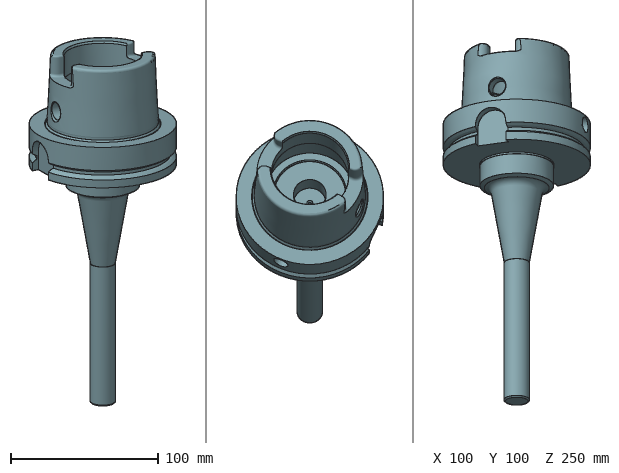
import cadquery as cq
import math


taper_height = 50.0
arbor_length = 200.0

taper_slope = 0.05
taper_base_radius = 38.0
taper_start = 3.0
rim_round = 2.0

relief_neck_radius = 37.7
relief_neck_top = 2.2
relief_neck_end = 1.0
relief_floor_radius = 39.0
relief_outer_radius = 39.5
relief_depth = 0.7

flange_radius = 50.0
flange_height = 29.0
groove_center = -20.0
groove_mouth = 6.7
groove_step_radius = 48.0
groove_step_width = 3.7
groove_floor_radius = 46.2
groove_floor_width = 2.2

collar_radius = 25.2
collar_height = 1.2
neck_radius = 25.0
neck_end = -44.2
shoulder_radius = 22.0
shoulder_end = -45.7
cone_top = -50.0
cone_top_radius = 17.2
cone_end = -100.0
cone_end_radius = 8.5
rod_radius = 8.7
tip_chamfer = 1.0

bore_radius = 26.2
bore_chamfer_width = 0.7
bore_chamfer_height = 1.5
bore_end = 30.7
undercut_radius = 30.0
pocket_floor = 5.0
recess_radius = 24.2
recess_chamfer = 0.7
recess_depth = 1.2
tube_hole_radius = 11.0
tube_hole_depth = 15.0
coolant_radius = 1.0
coolant_chamfer = 1.0
coolant_depth = 12.5

notch_half_width = 10.0
notch_mouth_round = 5.0
notch_mouth_y = 32.2
notch_floor_round = 2.0
notch_edge_round = 1.2
notch_plate_thickness = 2.5
select_margin = 0.2
front_notch_floor = 35.2
back_notch_floor = 40.0

cross_hole_radius = 6.0
cross_hole_rim_radius = 7.0
cross_hole_height = 15.0

slot_half_width = 11.0
slot_top = -4.7
slot_floor_y = 44.0

chip_hole_radius = 5.2
chip_hole_depth = 4.5
chip_hole_height = -6.7
chip_center_radius = 0.5
chip_center_depth = 1.0


def taper_radius(z):
    return taper_base_radius - taper_slope * z


def outer_body():
    """Revolved outside shape, drawn from the rod tip upwards."""
    mouth_low = groove_center - groove_mouth / 2
    mouth_high = groove_center + groove_mouth / 2
    step_low = groove_center - groove_step_width / 2
    step_high = groove_center + groove_step_width / 2
    floor_low = groove_center - groove_floor_width / 2
    floor_high = groove_center + groove_floor_width / 2
    rim_start = taper_height - rim_round
    rim_radius = taper_radius(rim_start)
    rim_diagonal = rim_round * math.sqrt(0.5)
    rim_mid = (rim_radius - rim_round + rim_diagonal, rim_start + rim_diagonal)
    profile = (
        cq.Workplane("XZ")
        .moveTo(0, -arbor_length)
        .lineTo(rod_radius - tip_chamfer, -arbor_length)
        .lineTo(rod_radius, -arbor_length + tip_chamfer)
        .lineTo(rod_radius, cone_end)
        .lineTo(cone_end_radius, cone_end)
        .lineTo(cone_top_radius, cone_top)
        .tangentArcPoint((shoulder_radius, shoulder_end), relative=False)
        .lineTo(neck_radius, neck_end)
        .lineTo(neck_radius, -flange_height - collar_height)
        .lineTo(collar_radius, -flange_height - collar_height)
        .lineTo(collar_radius, -flange_height)
        .lineTo(flange_radius, -flange_height)
        .lineTo(flange_radius, mouth_low)
        .lineTo(groove_step_radius, step_low)
        .lineTo(groove_floor_radius, floor_low)
        .lineTo(groove_floor_radius, floor_high)
        .lineTo(groove_step_radius, step_high)
        .lineTo(flange_radius, mouth_high)
        .lineTo(flange_radius, 0)
        .lineTo(relief_outer_radius, 0)
        .lineTo(relief_floor_radius, -relief_depth)
        .lineTo(relief_neck_radius, relief_neck_end)
        .lineTo(relief_neck_radius, relief_neck_top)
        .lineTo(taper_radius(taper_start), taper_start)
        .lineTo(taper_radius(rim_start), rim_start)
        .threePointArc(rim_mid, (rim_radius - rim_round, taper_height))
        .lineTo(0, taper_height)
        .close()
    )
    return profile.revolve(360, (0, 0), (0, 1))


def pocket():
    """Revolved hollow inside the taper, with the coolant tube seat below it."""
    recess_floor = pocket_floor - recess_depth
    tube_floor = recess_floor - tube_hole_depth
    coolant_floor = tube_floor - coolant_depth
    return (
        cq.Workplane("XZ")
        .moveTo(0, coolant_floor)
        .lineTo(coolant_radius, coolant_floor)
        .lineTo(coolant_radius, tube_floor - coolant_chamfer)
        .lineTo(coolant_radius + coolant_chamfer, tube_floor)
        .lineTo(tube_hole_radius, tube_floor)
        .lineTo(tube_hole_radius, recess_floor)
        .lineTo(recess_radius, recess_floor)
        .lineTo(recess_radius, pocket_floor - recess_chamfer)
        .lineTo(recess_radius + recess_chamfer, pocket_floor)
        .lineTo(undercut_radius, pocket_floor)
        .lineTo(undercut_radius, bore_end)
        .lineTo(bore_radius, bore_end)
        .lineTo(bore_radius, taper_height - bore_chamfer_height)
        .lineTo(bore_radius + bore_chamfer_width, taper_height)
        .lineTo(0, taper_height)
        .close()
        .revolve(360, (0, 0), (0, 1))
    )


def wall_edges(height):
    """Selector for the edges along a notch cutter's walls at one height."""
    margin = select_margin
    return cq.selectors.BoxSelector(
        (-flange_radius, bore_radius / 2 + margin, height - margin),
        (flange_radius, notch_mouth_y + margin, height + margin),
    )


def notch(floor_height, side):
    """Drive notch cutter on the +Y (side = 1) or -Y (side = -1) half of the rim."""
    inner_y = bore_radius / 2
    outer_y = flange_radius
    side_x = taper_base_radius
    flare = notch_half_width + notch_mouth_round
    arc_start_y = notch_mouth_y - notch_mouth_round
    diagonal = notch_mouth_round * math.sqrt(0.5)
    arc_mid = (flare - diagonal, arc_start_y + diagonal)
    cutter = (
        cq.Workplane("XY")
        .workplane(offset=floor_height)
        .moveTo(-notch_half_width, inner_y)
        .lineTo(notch_half_width, inner_y)
        .lineTo(notch_half_width, arc_start_y)
        .threePointArc(arc_mid, (flare, notch_mouth_y))
        .lineTo(side_x, notch_mouth_y)
        .lineTo(side_x, outer_y)
        .lineTo(-side_x, outer_y)
        .lineTo(-side_x, notch_mouth_y)
        .lineTo(-flare, notch_mouth_y)
        .threePointArc((-arc_mid[0], arc_mid[1]), (-notch_half_width, arc_start_y))
        .close()
        .extrude(taper_height - floor_height)
    )
    cutter = cutter.edges(wall_edges(floor_height)).fillet(notch_floor_round)

    plate = (
        cq.Workplane("XY")
        .workplane(offset=taper_height)
        .center(0, (inner_y + outer_y) / 2)
        .rect(2 * flange_radius, outer_y - inner_y)
        .extrude(notch_plate_thickness)
    )
    cutter = cutter.union(plate)
    cutter = cutter.edges(wall_edges(taper_height)).fillet(notch_edge_round)
    return cutter if side > 0 else cutter.mirror("XZ")


def cross_holes():
    """Hole through both walls of the taper along Y, with a countersunk rim on each side."""
    hole = cq.Workplane("XZ").center(0, cross_hole_height).circle(cross_hole_radius)
    hole = hole.extrude(flange_radius, both=True)
    rim_depth = cross_hole_rim_radius - cross_hole_radius
    rim_y = taper_radius(cross_hole_height) - rim_depth
    for side in (1, -1):
        rim = cq.Solid.makeCone(
            cross_hole_radius,
            cross_hole_rim_radius + rim_depth,
            2 * rim_depth,
            cq.Vector(0, side * rim_y, cross_hole_height),
            cq.Vector(0, side, 0),
        )
        hole = hole.union(cq.Workplane(rim))
    return hole


def drive_slot(side):
    """Round-topped slot open at the lower face of the flange, on the +Y or -Y side."""
    shoulder = slot_top - slot_half_width
    cutter = (
        cq.Workplane("XZ", origin=(0, -slot_floor_y, 0))
        .moveTo(-slot_half_width, -flange_height)
        .lineTo(slot_half_width, -flange_height)
        .lineTo(slot_half_width, shoulder)
        .threePointArc((0, slot_top), (-slot_half_width, shoulder))
        .close()
        .extrude(flange_radius)
    )
    return cutter if side < 0 else cutter.mirror("XZ")


def chip_hole():
    """Blind hole on the -X side of the flange, with a small centre mark in its floor."""
    floor_x = -flange_radius + chip_hole_depth
    base = cq.Workplane("YZ", origin=(floor_x, 0, chip_hole_height))
    mark = base.circle(chip_center_radius).extrude(chip_center_depth)
    return base.circle(chip_hole_radius).extrude(-2 * chip_hole_depth).union(mark)


body = outer_body().cut(notch(back_notch_floor, 1)).cut(notch(front_notch_floor, -1))
body = body.cut(pocket()).cut(cross_holes())
for y_side in (1, -1):
    body = body.cut(drive_slot(y_side))
result = body.cut(chip_hole())